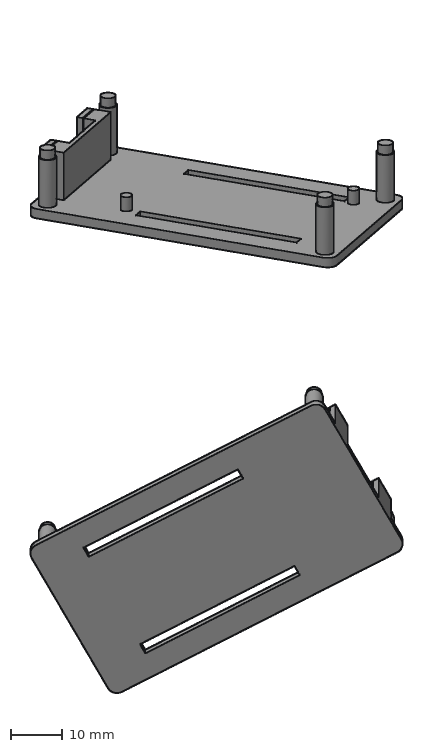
import cadquery as cq

length = 65.0
width = 35.0
plate_thickness = 2.0
corner_radius = 2.0

post_inset = 3.0
post_diameter = 3.5
post_tip_diameter = 3.0
shoulder_height = 12.0
total_height = 14.0

pin_diameter = 2.3
pin_height = 3.0
pin_positions = [(18.0, -10.5), (57.0, 10.45)]

slot_start = 20.9
slot_length = 34.2
slot_width = 2.15
slot_offset = 11.5

bracket_depth = 5.0
bracket_width = 22.6
recess_depth = 3.95
recess_width = 12.5
front_wall_thickness = 1.25
wall_gap = 0.25


def block(x_start, x_size, y_size, z_start, z_size, y_center=0.0):
    """Box placed by its left face, its Y centre and its bottom face."""
    return (
        cq.Workplane("XY")
        .box(x_size, y_size, z_size, centered=(False, True, False))
        .translate((x_start, y_center, z_start))
    )


def cylinders(points, diameter, z_start, height):
    """Upright cylinders of one size at the given points."""
    return (
        cq.Workplane("XY", origin=(0, 0, z_start))
        .pushPoints(points)
        .circle(diameter / 2)
        .extrude(height)
    )


def make_plate():
    plate = block(0, length, width, 0, plate_thickness).edges("|Z").fillet(corner_radius)
    for side in (-1, 1):
        plate = plate.cut(
            block(slot_start, slot_length, slot_width, 0, plate_thickness, side * slot_offset)
        )
    return plate


def make_posts():
    post_y = width / 2 - post_inset
    points = [(x, y) for x in (post_inset, length - post_inset) for y in (-post_y, post_y)]
    posts = cylinders(points, post_diameter, 0, shoulder_height)
    return posts.union(cylinders(points, post_tip_diameter, 0, total_height))


def make_pins():
    return cylinders(pin_positions, pin_diameter, 0, plate_thickness + pin_height)


def make_bracket():
    height = shoulder_height - plate_thickness
    bracket = block(0, bracket_depth, bracket_width, plate_thickness, height)
    recess = block(0, recess_depth, recess_width, plate_thickness, height)
    gap = block(front_wall_thickness, wall_gap, bracket_width, plate_thickness, height)
    return bracket.cut(recess).cut(gap)


result = make_plate().union(make_posts()).union(make_pins()).union(make_bracket())